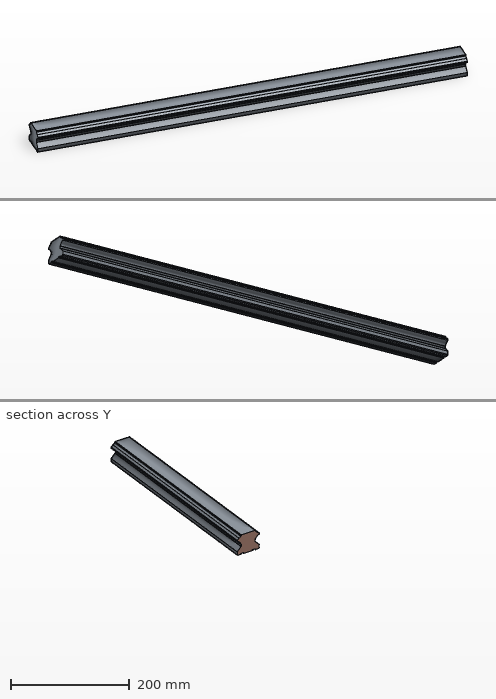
import cadquery as cq
import math

length = 765.0
width = 45.0
height = 38.0
half_width = width / 2

base_chamfer = 1.5
relief_inner = 9.0
relief_outer = 14.5
relief_depth = 1.5
relief_taper = 0.4
foot_top = 8.0

waist_inset = 8.0
waist_x = half_width - waist_inset
slot_depth = 1.0
slot_height = 4.2
slot_top = 20.0
slot_bottom = slot_top - slot_height

head_side_bottom = 27.5
head_side_top = 30.0
shoulder_x = 19.0
shoulder_z = height - 5.0

top_half_width = 14.5
wall_bottom = 37.0
ledge_width = 1.15
ledge_drop = 0.4

lower_raceway_depth = 1.3
upper_raceway_depth = 1.0


def raceway_middle(start, end, depth):
    """Deepest point of a raceway arc; the rail lies to the left of the chord from start to end."""
    dx = end[0] - start[0]
    dz = end[1] - start[1]
    chord = math.hypot(dx, dz)
    return (
        (start[0] + end[0]) / 2 - depth * dz / chord,
        (start[1] + end[1]) / 2 + depth * dx / chord,
    )


lower_start = (waist_x, slot_top)
lower_end = (half_width, head_side_bottom)
upper_start = (shoulder_x, shoulder_z)
upper_end = (top_half_width + ledge_width, wall_bottom - ledge_drop)

right_half = (
    cq.Workplane("XZ", origin=(0, length / 2, 0))
    .moveTo(0, 0)
    .lineTo(relief_inner, 0)
    .lineTo(relief_inner + relief_taper, relief_depth)
    .lineTo(relief_outer, relief_depth)
    .lineTo(relief_outer, 0)
    .lineTo(half_width - base_chamfer, 0)
    .lineTo(half_width, base_chamfer)
    .lineTo(half_width, foot_top)
    .lineTo(waist_x, slot_bottom)
    .lineTo(waist_x - slot_depth, slot_bottom)
    .lineTo(waist_x - slot_depth, slot_top)
    .lineTo(*lower_start)
    .threePointArc(raceway_middle(lower_start, lower_end, lower_raceway_depth), lower_end)
    .lineTo(half_width, head_side_top)
    .lineTo(*upper_start)
    .threePointArc(raceway_middle(upper_start, upper_end, upper_raceway_depth), upper_end)
    .lineTo(top_half_width, wall_bottom)
    .lineTo(top_half_width, height)
    .lineTo(0, height)
    .close()
    .extrude(length)
)

result = right_half.union(right_half.mirror("YZ")).clean()